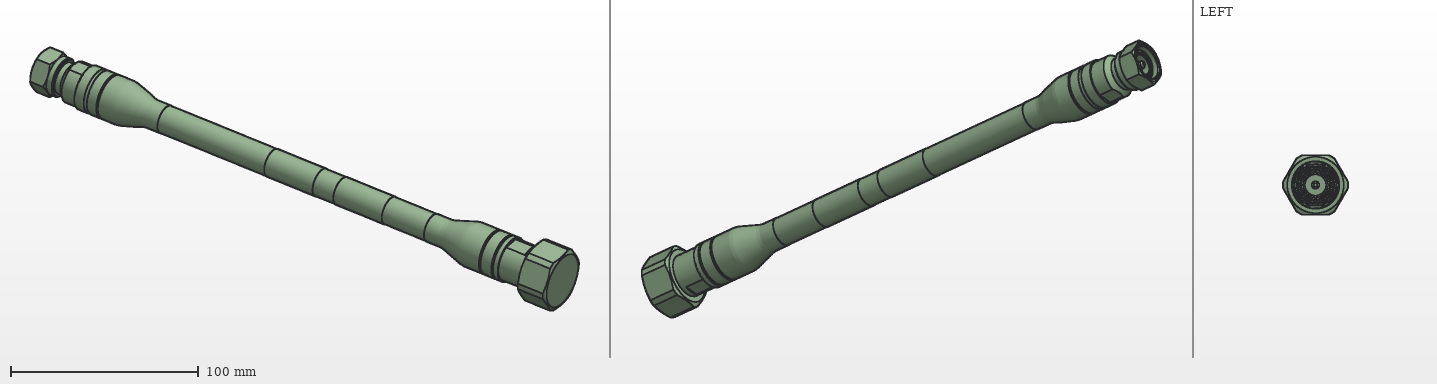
import cadquery as cq
import math

TOTAL_LENGTH = 334.2

CABLE_START = 79.5
CABLE_END = 250.5
MARKER_RADIUS = 8.0
MARKER_THICKNESS = 0.17
CABLE_RADIUS = MARKER_RADIUS - MARKER_THICKNESS
MARKER_LENGTH = 31.0
MARKER_STARTS = (148.0, 192.5)

SHELL_RADIUS = 12.7
SHELL_LENGTH = 24.0
BOOT_CONE_RADIUS = 12.5
BOOT_CONE_START = 26.0
BOOT_CONE_END = 39.0
BOOT_CONE_END_RADIUS = 8.5
TAIL_RADIUS = MARKER_RADIUS
TAIL_START = 41.0
GROOVE_DEPTH = 0.17
SEAL_GROOVE_WIDTH = 1.0

HEX_CHAMFER_LENGTH = 1.0

BODY_DIAMETER = 23.7
BODY_RADIUS = BODY_DIAMETER / 2
WRENCH_FLATS = 22.0

SMALL_SHELL_START = 29.5
SMALL_BODY_START = 20.7
SMALL_NECK_RADIUS = 9.0
SMALL_NECK_END = SMALL_BODY_START - (BODY_RADIUS - SMALL_NECK_RADIUS)
SMALL_NUT_FLATS = 22.0
SMALL_HEX_LENGTH = 10.5
SMALL_NUT_LENGTH = 14.5
SMALL_COLLAR_CHAMFER = 0.7
WIDE_GROOVE_START = 6.0
WIDE_GROOVE_WIDTH = 2.0
SMALL_SEAL_GROOVE_START = 14.0
SMALL_BOOT_SHOULDER = 34.5
SMALL_BOOT_SHOULDER_RADIUS = 10.0

SOCKET_RADIUS = 9.5
SOCKET_DEPTH = 8.5
SOCKET_CHAMFER = 0.7
FERRULE_RADIUS = 8.5
FERRULE_CHAMFER = 0.7
FERRULE_BORE_RADIUS = 5.7
FERRULE_MOUTH_RADIUS = 6.7
FERRULE_MOUTH_DEPTH = 1.0
FERRULE_RECESS = 2.7
PIN_RADIUS = 2.0
PIN_CHAMFER = 1.0

LARGE_SHELL_END = 301.0
LARGE_NUT_START = 316.0
LARGE_NUT_FLATS = 31.7
LARGE_NUT_RADIUS = 17.5
LARGE_NUT_FACE_RADIUS = 15.0
LARGE_FLAT_END = 313.0
LARGE_SEAL_GROOVE_STARTS = (3.0, 11.0)


def cylinder(start, end, radius):
    return cq.Workplane("YZ").workplane(offset=start).circle(radius).extrude(end - start)


def ring(start, width, outer_radius, inner_radius):
    section = cq.Workplane("YZ").workplane(offset=start)
    return section.circle(outer_radius).circle(inner_radius).extrude(width)


def turned(points):
    """Solid of revolution about the X axis from (x, radius) points."""
    outline = [(points[0][0], 0), *points, (points[-1][0], 0)]
    return cq.Workplane("XY").polyline(outline).close().revolve(360, (0, 0, 0), (1, 0, 0))


def hexagon(start, end, across_flats, turned_radius, face_radius):
    """Hexagonal prism, flat on the top and the bottom, turned to a radius and chamfered at both ends."""
    corner_diameter = across_flats / math.cos(math.pi / 6)
    prism = cq.Workplane("YZ").workplane(offset=start).polygon(6, corner_diameter).extrude(end - start)
    envelope = turned([
        (start, face_radius),
        (start + HEX_CHAMFER_LENGTH, turned_radius),
        (end - HEX_CHAMFER_LENGTH, turned_radius),
        (end, face_radius),
    ])
    return prism.intersect(envelope)


def wrench_flat_cuts(start, end):
    """Two blocks that cut the wrench flats into the body."""
    cutter_height = BODY_RADIUS
    middle = (start + end) / 2
    offset = (WRENCH_FLATS + cutter_height) / 2
    block = cq.Workplane("XY").box(end - start, 2 * BODY_RADIUS, cutter_height)
    return block.translate((middle, 0, offset)).union(block.translate((middle, 0, -offset)))


def shell_and_boot(tail_length, grooves, cone_breaks=()):
    """Clamp shell from x = 0, tapering to the cable; grooves are (start, width) pairs.

    Cone breaks are (x, radius) points where the slope of the boot changes.
    """
    shell = turned([
        (0, SHELL_RADIUS),
        (SHELL_LENGTH, SHELL_RADIUS),
        (BOOT_CONE_START, BOOT_CONE_RADIUS),
        *cone_breaks,
        (BOOT_CONE_END, BOOT_CONE_END_RADIUS),
        (TAIL_START, TAIL_RADIUS),
        (tail_length, TAIL_RADIUS),
    ])
    for start, width in grooves:
        shell = shell.cut(ring(start, width, SHELL_RADIUS + GROOVE_DEPTH, SHELL_RADIUS - GROOVE_DEPTH))
    return shell


def small_nut():
    """Coupling nut with a round collar behind its hexagon."""
    collar_radius = SMALL_NUT_FLATS / 2
    corner_radius = collar_radius / math.cos(math.pi / 6)
    collar = cylinder(0, SMALL_NUT_LENGTH, collar_radius).faces(">X").chamfer(SMALL_COLLAR_CHAMFER)
    return hexagon(0, SMALL_HEX_LENGTH, SMALL_NUT_FLATS, corner_radius, collar_radius).union(collar)


def small_socket():
    """Space around the ferrule and the centre pin inside the small nut."""
    opening = turned([
        (0, SOCKET_RADIUS + SOCKET_CHAMFER),
        (SOCKET_CHAMFER, SOCKET_RADIUS),
        (SOCKET_DEPTH, SOCKET_RADIUS),
    ])
    ferrule = cylinder(FERRULE_RECESS, SOCKET_DEPTH, FERRULE_RADIUS).faces("<X").chamfer(FERRULE_CHAMFER)
    ferrule = ferrule.cut(cylinder(FERRULE_RECESS, SOCKET_DEPTH, FERRULE_BORE_RADIUS))
    mouth_end = FERRULE_RECESS + FERRULE_MOUTH_DEPTH
    ferrule = ferrule.cut(cylinder(FERRULE_RECESS, mouth_end, FERRULE_MOUTH_RADIUS))
    pin = cylinder(FERRULE_RECESS, SOCKET_DEPTH, PIN_RADIUS).faces("<X").chamfer(PIN_CHAMFER)
    return opening.cut(ferrule).cut(pin)


def small_connector():
    grooves = [(WIDE_GROOVE_START, WIDE_GROOVE_WIDTH), (SMALL_SEAL_GROOVE_START, SEAL_GROOVE_WIDTH)]
    shoulder = (SMALL_BOOT_SHOULDER, SMALL_BOOT_SHOULDER_RADIUS)
    shell = shell_and_boot(CABLE_START - SMALL_SHELL_START, grooves, [shoulder])
    shell = shell.translate((SMALL_SHELL_START, 0, 0))
    body = turned([
        (SMALL_HEX_LENGTH, SMALL_NECK_RADIUS),
        (SMALL_NECK_END, SMALL_NECK_RADIUS),
        (SMALL_BODY_START, BODY_RADIUS),
        (SMALL_SHELL_START, BODY_RADIUS),
    ])
    body = body.cut(wrench_flat_cuts(SMALL_NUT_LENGTH, SMALL_SHELL_START))
    return small_nut().cut(small_socket()).union(body).union(shell)


def large_nut():
    return hexagon(LARGE_NUT_START, TOTAL_LENGTH, LARGE_NUT_FLATS, LARGE_NUT_RADIUS, LARGE_NUT_FACE_RADIUS)


def large_connector():
    grooves = [(start, SEAL_GROOVE_WIDTH) for start in LARGE_SEAL_GROOVE_STARTS]
    shell = shell_and_boot(LARGE_SHELL_END - CABLE_END, grooves)
    shell = shell.mirror("YZ").translate((LARGE_SHELL_END, 0, 0))
    body = cylinder(LARGE_SHELL_END, LARGE_NUT_START, BODY_RADIUS)
    body = body.cut(wrench_flat_cuts(LARGE_SHELL_END, LARGE_FLAT_END))
    return shell.union(body).union(large_nut())


def cable():
    return cylinder(CABLE_START, CABLE_END, CABLE_RADIUS)


def marker(start):
    """Thin sleeve around the cable."""
    return ring(start, MARKER_LENGTH, MARKER_RADIUS, CABLE_RADIUS)


markers = [marker(start) for start in MARKER_STARTS]

result = cq.Compound.makeCompound([
    small_connector().val(),
    large_connector().val(),
    cable().val(),
    *[sleeve.val() for sleeve in markers],
])